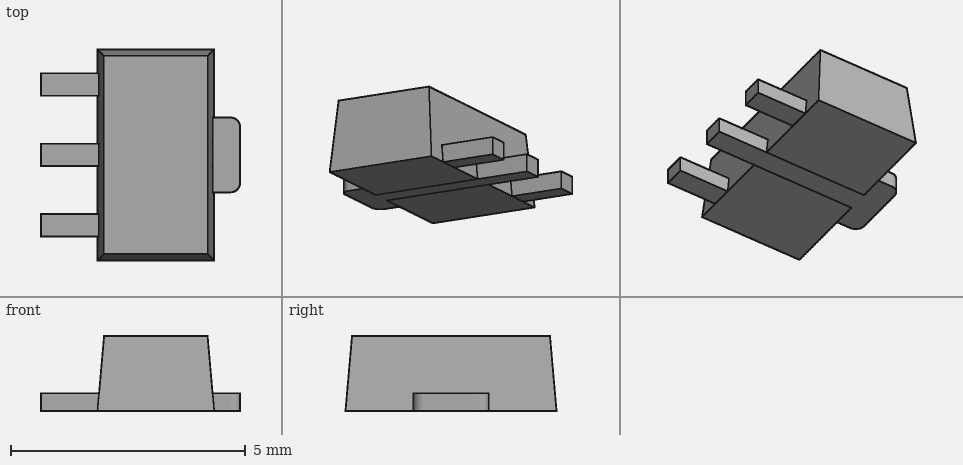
import cadquery as cq
import math

HOUSING_LENGTH = 4.5
HOUSING_WIDTH = 2.49
HOUSING_HEIGHT = 1.6
DRAFT_ANGLE = 5.0

TOTAL_WIDTH = 4.25
METAL_THICKNESS = 0.382
LEAD_WIDTH = 0.48
LEAD_PITCH = 1.5
LEAD_REACH = 1.205
TAB_WIDTH = 1.6
TAB_CORNER_RADIUS = 0.21

BASE_EDGE_X = HOUSING_WIDTH / 2
LEAD_TIP_X = -BASE_EDGE_X - LEAD_REACH
TAB_END_X = LEAD_TIP_X + TOTAL_WIDTH
TOP_INSET = HOUSING_HEIGHT * math.tan(math.radians(DRAFT_ANGLE))


def make_strip(start_x, end_x, width, center_y=0.0):
    """Flat metal bar along X, resting on z = 0."""
    return (
        cq.Workplane("XY")
        .box(end_x - start_x, width, METAL_THICKNESS, centered=(False, True, False))
        .translate((start_x, center_y, 0))
    )


def make_housing_blank():
    """Drafted block before the center lead's channel is cut."""
    return (
        cq.Workplane("XY")
        .rect(HOUSING_WIDTH, HOUSING_LENGTH)
        .workplane(offset=HOUSING_HEIGHT)
        .rect(HOUSING_WIDTH - 2 * TOP_INSET, HOUSING_LENGTH - 2 * TOP_INSET)
        .loft(ruled=True)
    )


def make_outer_lead(center_y, housing_blank):
    """Lead whose inner end lies against the drafted housing wall."""
    return make_strip(LEAD_TIP_X, 0, LEAD_WIDTH, center_y).cut(housing_blank)


def make_center_lead(housing_blank):
    """Center lead that runs under the housing and widens into the rounded tab."""
    tab = make_strip(0, TAB_END_X, TAB_WIDTH)
    tab = tab.edges("|Z and >X").fillet(TAB_CORNER_RADIUS).cut(housing_blank)
    return make_strip(LEAD_TIP_X, BASE_EDGE_X, LEAD_WIDTH).union(tab)


housing_blank = make_housing_blank()
center_lead = make_center_lead(housing_blank)
housing = housing_blank.cut(center_lead)
outer_leads = [make_outer_lead(side * LEAD_PITCH, housing_blank) for side in (-1, 1)]

result = cq.Compound.makeCompound(
    [housing.val(), center_lead.val(), *[lead.val() for lead in outer_leads]]
)